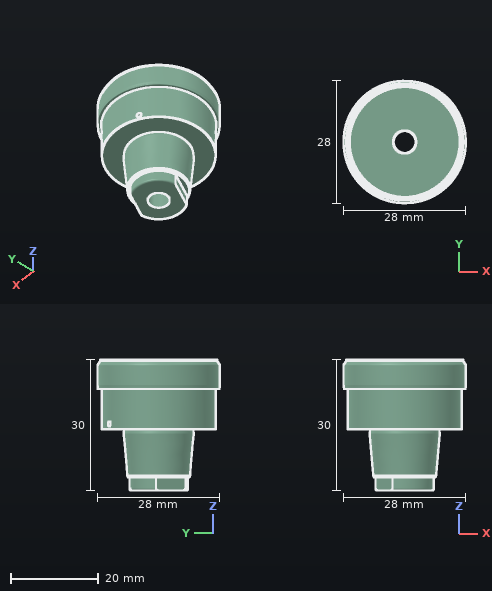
import cadquery as cq
import math

height = 29.95
ring_radius = 14.02

ring_bore_radius = 13.18
ring_bottom = 23.18
foot_chamfer_top = 24.02
foot_edge_radius = 13.95
foot_edge_z = 23.55
foot_fillet = 0.12
lip_radius = 13.42
lip_z = 29.6
lip_fillet = 0.18
shoulder_z = 28.7
shoulder_fillet = 0.45

barrel_radius = 13.05
top_recess = 0.45
barrel_top = height - top_recess
barrel_bottom = 13.95
barrel_top_chamfer = 0.48
barrel_bottom_chamfer = 0.1

collar_radius = 7.97
collar_bottom = 13.57
neck_radius_top = 8.05
neck_top = 13.0
neck_radius_bottom = 7.22
neck_taper_bottom = 3.4
neck_bottom = 3
neck_end_radius = 6.98

tip_radius = 6.7
tip_fillet = 0.45
flat_distance = 5.48
flat_angle = 30

bore_radius = 2.52
bore_chamfer = 0.15
side_hole_radius = 0.57
side_hole_depth = 1.2
side_hole_z = 15.25
side_hole_angle = 120


def make_ring():
    """Collar with a rounded conical lip at the top and a slightly tapered foot."""
    ring = (
        cq.Workplane("XZ")
        .moveTo(ring_bore_radius, ring_bottom)
        .lineTo(foot_edge_radius, ring_bottom)
        .lineTo(foot_edge_radius, foot_edge_z)
        .lineTo(ring_radius, foot_chamfer_top)
        .lineTo(ring_radius, shoulder_z)
        .lineTo(lip_radius, lip_z)
        .lineTo(lip_radius, height)
        .lineTo(ring_bore_radius, height)
        .close()
        .revolve(360, (0, 0, 0), (0, 1, 0))
    )
    outer_edge = cq.selectors.RadiusNthSelector(-1)
    ring = ring.faces(">Z").edges(outer_edge).fillet(lip_fillet)
    ring = ring.faces("<Z").edges(outer_edge).fillet(foot_fillet)
    shoulder_edge = cq.selectors.BoxSelector(
        (-height, -height, shoulder_z - shoulder_fillet),
        (height, height, shoulder_z + shoulder_fillet),
        boundingbox=True,
    )
    return ring.edges(shoulder_edge).edges("%CIRCLE").fillet(shoulder_fillet).solids()


def make_barrel():
    barrel = (
        cq.Workplane("XY")
        .workplane(offset=barrel_bottom)
        .circle(barrel_radius)
        .extrude(barrel_top - barrel_bottom)
    )
    return barrel.faces(">Z").chamfer(barrel_top_chamfer).faces("<Z").chamfer(barrel_bottom_chamfer)


def make_neck():
    return (
        cq.Workplane("XZ")
        .moveTo(0, neck_bottom)
        .lineTo(neck_end_radius, neck_bottom)
        .lineTo(neck_radius_bottom, neck_taper_bottom)
        .lineTo(neck_radius_top, neck_top)
        .lineTo(collar_radius, collar_bottom)
        .lineTo(collar_radius, barrel_bottom)
        .lineTo(0, barrel_bottom)
        .close()
        .revolve(360, (0, 0, 0), (0, 1, 0))
    )


def make_tip():
    """Round tip with a filleted end, trimmed to two opposite flats."""
    tip = cq.Workplane("XY").circle(tip_radius).extrude(neck_bottom)
    tip = tip.faces("<Z").edges().fillet(tip_fillet)
    between_flats = (
        cq.Workplane("XY")
        .rect(2 * flat_distance, 2 * tip_radius)
        .extrude(neck_bottom)
        .rotate((0, 0, 0), (0, 0, 1), flat_angle)
    )
    return tip.intersect(between_flats)


def make_bore():
    """Through bore with a countersunk upper mouth."""
    mouth_radius = bore_radius + bore_chamfer
    return (
        cq.Workplane("XZ")
        .moveTo(0, 0)
        .lineTo(bore_radius, 0)
        .lineTo(bore_radius, barrel_top - bore_chamfer)
        .lineTo(mouth_radius, barrel_top)
        .lineTo(0, barrel_top)
        .close()
        .revolve(360, (0, 0, 0), (0, 1, 0))
    )


def make_side_hole():
    """Radial blind hole in the lower part of the barrel wall."""
    angle = math.radians(side_hole_angle)
    outward = cq.Vector(math.cos(angle), math.sin(angle), 0)
    entry = outward * barrel_radius + cq.Vector(0, 0, side_hole_z)
    hole = cq.Solid.makeCylinder(side_hole_radius, side_hole_depth, entry, outward * -1)
    return cq.Workplane(hole)


def make_body():
    body = make_barrel().union(make_neck()).union(make_tip())
    return body.cut(make_bore()).cut(make_side_hole()).solids()


body = make_body()
ring = make_ring()

result = cq.Compound.makeCompound([body.val(), ring.val()])